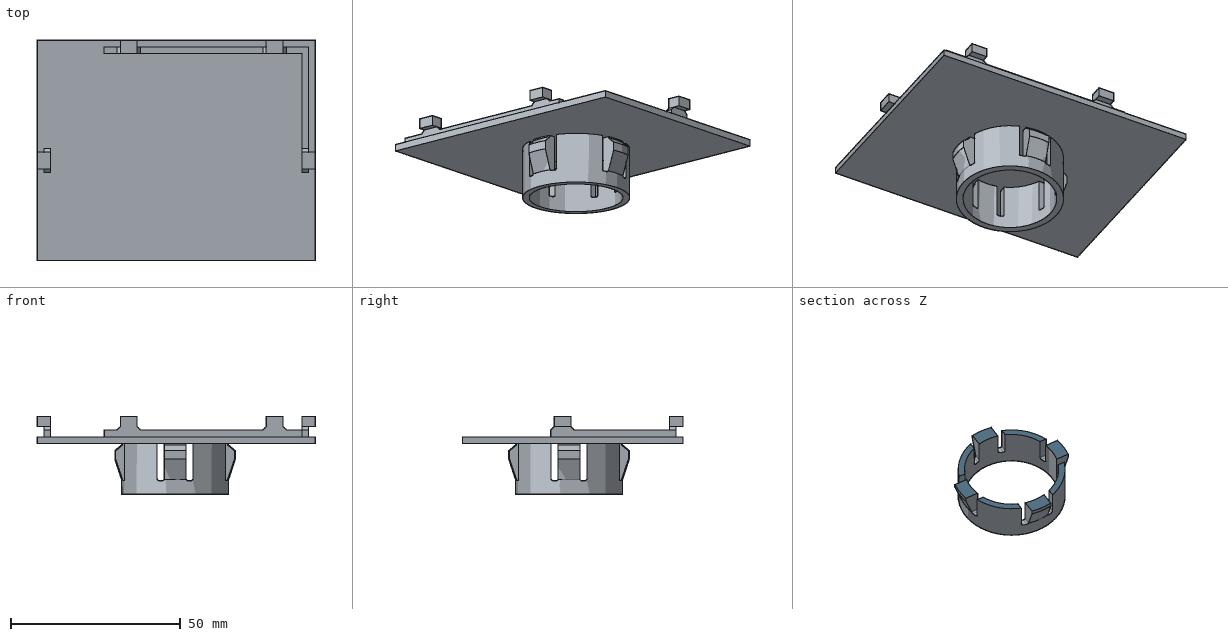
import cadquery as cq

plate_length = 82.0
plate_width = 65.0
plate_thickness = 2.0
right_edge = plate_length / 2
back_edge = plate_width / 2

rail_inset = 2.0
rail_width = 2.0
rail_height = 2.0
rail_start_x = -21.25
rail_top = plate_thickness + rail_height
rail_end_y = -6.5

clip_width = 5.0
clip_foot_width = 7.0
clip_flare_height = 1.0
clip_head_height = 3.0
clip_reach = rail_inset + rail_width
side_clip_y = rail_end_y + clip_foot_width / 2
back_clip_positions = (-14.0, 29.0)

socket_x = -0.35
socket_y = -1.1
socket_radius = 15.8
socket_wall = 2.0
socket_depth = 15.0

finger_count = 4
finger_width = 6.5
slot_width = 2.0
slot_depth = 10.9
slot_corner_radius = 0.5

barb_radius = 17.8
barb_start_depth = 0.4
barb_crest_depth = 2.1
barb_taper_depth = 4.6
barb_end_depth = 10.6


def make_plate():
    return cq.Workplane("XY").box(
        plate_length, plate_width, plate_thickness, centered=(True, True, False)
    )


def make_rail():
    """L-shaped rail along the back edge and part of the right edge."""
    outer_x = right_edge - rail_inset
    outer_y = back_edge - rail_inset
    inner_x = outer_x - rail_width
    inner_y = outer_y - rail_width
    return (
        cq.Workplane("XY", origin=(0, 0, plate_thickness))
        .moveTo(rail_start_x, outer_y)
        .lineTo(outer_x, outer_y)
        .lineTo(outer_x, rail_end_y)
        .lineTo(inner_x, rail_end_y)
        .lineTo(inner_x, inner_y)
        .lineTo(rail_start_x, inner_y)
        .close()
        .extrude(rail_height)
    )


def make_clip():
    """Clip at the +Y side of the origin: the plate edge is Y = 0 and the inside is -Y."""
    foot_half = clip_foot_width / 2
    half = clip_width / 2
    head_bottom = rail_top + clip_flare_height
    stem = (
        cq.Workplane("XZ", origin=(0, -rail_inset, 0))
        .moveTo(-foot_half, plate_thickness)
        .lineTo(foot_half, plate_thickness)
        .lineTo(foot_half, rail_top)
        .lineTo(half, head_bottom)
        .lineTo(-half, head_bottom)
        .lineTo(-foot_half, rail_top)
        .close()
        .extrude(rail_width)
    )
    head = cq.Workplane("XY", origin=(0, -clip_reach / 2, head_bottom)).box(
        clip_width, clip_reach, clip_head_height, centered=(True, True, False)
    )
    return stem.union(head)


def make_clips():
    """Two clips on the back edge and one on each side edge."""
    clip = make_clip()
    right_clip = clip.rotate((0, 0, 0), (0, 0, 1), -90).translate((right_edge, side_clip_y, 0))
    left_clip = clip.rotate((0, 0, 0), (0, 0, 1), 90).translate((-right_edge, side_clip_y, 0))
    clips = right_clip.union(left_clip)
    for clip_x in back_clip_positions:
        clips = clips.union(clip.translate((clip_x, back_edge, 0)))
    return clips


def make_barb_ring():
    """Full ring with the barb profile, from which the finger barbs are taken."""
    inner_radius = socket_radius - socket_wall
    return (
        cq.Workplane("XZ")
        .moveTo(inner_radius, -barb_start_depth)
        .lineTo(socket_radius, -barb_start_depth)
        .lineTo(barb_radius, -barb_crest_depth)
        .lineTo(barb_radius, -barb_taper_depth)
        .lineTo(socket_radius, -barb_end_depth)
        .lineTo(inner_radius, -barb_end_depth)
        .close()
        .revolve(360, (0, 0, 0), (0, 1, 0))
    )


def make_slot():
    """Slot cutter at the +X side of a finger that faces -Y."""
    slot_x = (finger_width + slot_width) / 2
    return (
        cq.Workplane("XY", origin=(slot_x, 0, 0))
        .rect(slot_width, 2 * barb_radius)
        .extrude(-slot_depth)
        .edges("|Y and <Z")
        .fillet(slot_corner_radius)
    )


def make_socket():
    """Tubular socket with four barbed fingers, placed under the plate."""
    socket = (
        cq.Workplane("XY")
        .circle(socket_radius)
        .circle(socket_radius - socket_wall)
        .extrude(-socket_depth)
    )
    finger_cross = (
        cq.Workplane("XY")
        .rect(finger_width, 2 * barb_radius)
        .extrude(-socket_depth)
        .union(cq.Workplane("XY").rect(2 * barb_radius, finger_width).extrude(-socket_depth))
    )
    socket = socket.union(make_barb_ring().intersect(finger_cross))
    slot = make_slot()
    for finger in range(finger_count):
        angle = finger * 360 / finger_count
        socket = socket.cut(slot.rotate((0, 0, 0), (0, 0, 1), angle))
    return socket.translate((socket_x, socket_y, 0))


result = make_plate().union(make_rail()).union(make_clips()).union(make_socket())